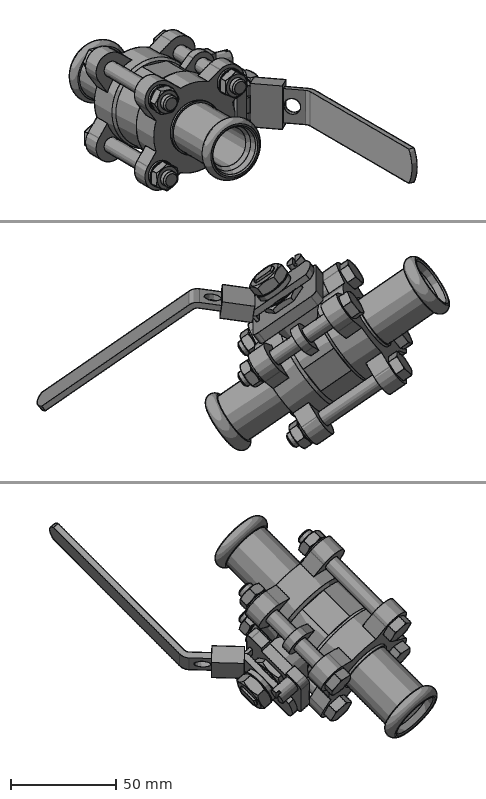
import cadquery as cq
import math


OVERALL_X = 187.95
OVERALL_Y = 89.94

PIPE_HALF_LENGTH = 62.1
PIPE_DIAMETER = 25.5
BORE_DIAMETER = 20.0
BEAD_DIAMETER = 31.5
BEAD_WIDTH = 6.8
COLLAR_DIAMETER = 27.3
COLLAR_LENGTH = 1.3
RIM_DIAMETER = 27.3
MOUTH_DIAMETER = 25.5
LIP_DIAMETER = 24.0
SOCKET_DIAMETER = 22.8
LIP_ARC_MIDDLE_DIAMETER = 23.1
SOCKET_DEPTH = 4.2
THROAT_LENGTH = 2.1

CAP_DIAMETER = 46.0
CAP_OUTER_X = 26.2
CAP_INNER_X = 9.1
CAP_BEVEL_LENGTH = 1.6
BODY_DIAMETER = 43.6
BODY_PAD_WIDTH = 14.0

BOLT_CIRCLE_RADIUS = 27.5
BOLT_DIAMETER = 7.94
BOLT_ANGLES = (45, 135, 225, 315)
TAB_ANGLES = (45, 315)
LUG_RADIUS = 8.5
LUG_THICKNESS = 9.3
LUG_ROOT_HALF_WIDTH = 9.74
TAB_RADIUS = 6.85
TAB_THICKNESS = 4.8
TAB_ROOT_HALF_WIDTH = 6.7
HEX_FLATS = 12.0
HEX_TURN = -15
HEAD_HEIGHT = 5.0
SPRING_WASHER_DIAMETER = 13.2
SPRING_WASHER_THICKNESS = 1.4
BOLT_NUT_HEIGHT = 5.3
BOLT_END_X = 36.2
BOLT_END_CHAMFER = 0.8
HEAD_CORNER_CUT = 0.5

NECK_DIAMETER = 24.0
FLANGE_BOTTOM_Y = 28.6
FLANGE_TOP_Y = 34.2
FLANGE_SIZE = 37.5
FLANGE_CORNER_RADIUS = 3.2
NOTCH_WIDTH = 17.0
NOTCH_DEPTH = 4.0

NUT_CORNER_CUT = 0.17
GLAND_NUT_FLATS = 18.8
GLAND_NUT_TOP_Y = 37.4
GLAND_WASHER_DIAMETER = 16.2
FOOT_BOTTOM_Y = 38.3
FOOT_TOP_Y = 41.5
WASHER_DIAMETER = 18.2
WASHER_TOP_Y = 44.0
STEM_NUT_FLATS = 16.8
STEM_NUT_TOP_Y = 50.2
STEM_DIAMETER = 11.7
STEM_FLATS = 6.7
STEM_TOP_Y = 51.4
STEM_CHAMFER = 0.8

FLANGE_BOLT_CIRCLE_RADIUS = 18.0
FLANGE_HOLE_OFFSET = FLANGE_BOLT_CIRCLE_RADIUS * math.sqrt(0.5)
PIN_DIAMETER = 8.3
PIN_TOP_Y = 44.0
PIN_SHANK_DIAMETER = 4.2
PIN_SHANK_END_Y = 28.0
PIN_SLOT_WIDTH = 1.4
PIN_SLOT_DEPTH = 1.8

LEVER_TOP_Y = OVERALL_Y - BOLT_CIRCLE_RADIUS * math.sqrt(0.5) - LUG_RADIUS
LEVER_THICKNESS = 3.0
LEVER_WIDTH = 17.6
LEVER_END_X = OVERALL_X - PIPE_HALF_LENGTH
LEVER_END_BULGE = 2.8
LEVER_ANGLE = 45
LEVER_SLOPE_OFFSET = 28.9
LEVER_BEND_RADIUS = 6.5
FOOT_END_X = -20.6
FOOT_END_BULGE = 2.6
LEVER_HOLE_DIAMETER = 8.0
LEVER_HOLE_Y = 55.6

SLEEVE_LENGTH = 15.6
SLEEVE_THICKNESS = 8.5
SLEEVE_WIDTH = 22.3
SLEEVE_CENTRE = (19.15, 46.05)
TONGUE_LEFT_X = 14.8
TONGUE_THICKNESS = 1.7
TONGUE_WIDTH = 8.0
TONGUE_END_Y = 28.0


def cylinder_x(start, end, diameter, y=0.0, z=0.0):
    """Cylinder along X from start to end."""
    return cq.Workplane("YZ", origin=(start, y, z)).circle(diameter / 2).extrude(end - start)


def cylinder_y(start, end, diameter, x=0.0, z=0.0):
    """Cylinder along Y from start to end."""
    return cq.Workplane("XZ", origin=(x, start, z)).circle(diameter / 2).extrude(start - end)


def hex_corners(flats):
    """Width across corners of a hexagon from its width across flats."""
    return flats / math.cos(math.pi / 6)


def turned_corners(cylinder, chamfered_ends, radial_cut):
    """Cylinder with 30 degree chamfers at the chosen ends, used to trim hexagon corners."""
    axial_cut = radial_cut * math.tan(math.pi / 6)
    return cylinder.faces(chamfered_ends).edges().chamfer(axial_cut, radial_cut)


def bolt_hex(start, end, turn, chamfered_ends, radial_cut):
    """Hexagonal prism along X on the bolt axis, at the local origin, with turned corners."""
    corners = hex_corners(HEX_FLATS)
    hexagon = cq.Workplane("YZ", origin=(start, 0, 0)).polygon(6, corners)
    prism = hexagon.extrude(end - start).rotate((0, 0, 0), (1, 0, 0), turn)
    return prism.intersect(turned_corners(cylinder_x(start, end, corners), chamfered_ends, radial_cut))


def stem_hex(start, end, flats, chamfered_ends):
    """Hexagonal nut along Y with its corners turned off at the chosen ends."""
    corners = hex_corners(flats)
    prism = cq.Workplane("XZ", origin=(0, start, 0)).polygon(6, corners).extrude(start - end)
    radial_cut = NUT_CORNER_CUT * corners / 2
    return prism.intersect(turned_corners(cylinder_y(start, end, corners), chamfered_ends, radial_cut))


def arm(start, end, angle, root_half_width, root_radius, boss_radius):
    """Plate from the valve axis to a bolt boss, with its sides tangent to the boss."""
    root_u = math.sqrt(root_radius**2 - root_half_width**2)
    offset_u = root_u - BOLT_CIRCLE_RADIUS
    reach = math.hypot(offset_u, root_half_width)
    tangent = math.atan2(root_half_width, offset_u) - math.acos(boss_radius / reach)
    tangent_u = BOLT_CIRCLE_RADIUS + boss_radius * math.cos(tangent)
    tangent_v = boss_radius * math.sin(tangent)
    plate = (
        cq.Workplane("YZ", origin=(start, 0, 0))
        .moveTo(0, 0)
        .lineTo(root_u, -root_half_width)
        .lineTo(tangent_u, -tangent_v)
        .threePointArc((BOLT_CIRCLE_RADIUS + boss_radius, 0), (tangent_u, tangent_v))
        .lineTo(root_u, root_half_width)
        .close()
        .extrude(end - start)
    )
    return plate.rotate((0, 0, 0), (1, 0, 0), angle)


def pipe_end():
    """Press end on the -X side: collar, tube and beaded mouth."""
    tube = cylinder_x(-PIPE_HALF_LENGTH + BEAD_WIDTH / 2, -CAP_OUTER_X, PIPE_DIAMETER)
    rim_x = -PIPE_HALF_LENGTH
    bead = (
        cq.Workplane("XY")
        .moveTo(rim_x, 0)
        .lineTo(rim_x, RIM_DIAMETER / 2)
        .threePointArc((rim_x + BEAD_WIDTH / 2, BEAD_DIAMETER / 2), (rim_x + BEAD_WIDTH, RIM_DIAMETER / 2))
        .lineTo(rim_x + BEAD_WIDTH, 0)
        .close()
        .revolve(360, (0, 0, 0), (1, 0, 0))
    )
    collar = cylinder_x(-CAP_OUTER_X - COLLAR_LENGTH, -CAP_OUTER_X, COLLAR_DIAMETER)
    return tube.union(bead).union(collar)


def mouth_cut():
    """Bevelled and rounded socket inside the -X press end, closing down to the bore."""
    mouth_x = -PIPE_HALF_LENGTH
    socket_end_x = mouth_x + SOCKET_DEPTH
    throat_end_x = socket_end_x + THROAT_LENGTH
    mouth_bevel = (MOUTH_DIAMETER - LIP_DIAMETER) / 2
    lip_middle_x = mouth_x + (mouth_bevel + SOCKET_DEPTH) / 2
    return (
        cq.Workplane("XY")
        .moveTo(mouth_x, 0)
        .lineTo(mouth_x, MOUTH_DIAMETER / 2)
        .lineTo(mouth_x + mouth_bevel, LIP_DIAMETER / 2)
        .threePointArc((lip_middle_x, LIP_ARC_MIDDLE_DIAMETER / 2), (socket_end_x, SOCKET_DIAMETER / 2))
        .lineTo(throat_end_x, BORE_DIAMETER / 2)
        .lineTo(throat_end_x, 0)
        .close()
        .revolve(360, (0, 0, 0), (1, 0, 0))
    )


def end_cap():
    """End cap on the -X side: bevelled drum with four bolt lugs."""
    bevel_depth = (CAP_DIAMETER - BODY_DIAMETER) / 2
    drum = cylinder_x(-CAP_OUTER_X, -CAP_INNER_X, CAP_DIAMETER)
    cap = drum.faces(">X").edges().chamfer(CAP_BEVEL_LENGTH, bevel_depth)
    for angle in BOLT_ANGLES:
        lug = arm(-CAP_OUTER_X, -CAP_OUTER_X + LUG_THICKNESS, angle,
                  LUG_ROOT_HALF_WIDTH, CAP_DIAMETER / 2, LUG_RADIUS)
        cap = cap.union(lug)
    return cap


def centre_body():
    """Middle drum with a flat pad on each Z side and two bolt tabs on the stem side."""
    pad_height = math.sqrt(BODY_DIAMETER**2 - BODY_PAD_WIDTH**2)
    drum = cylinder_x(-CAP_INNER_X, CAP_INNER_X, BODY_DIAMETER)
    body = drum.intersect(cq.Workplane("XY").box(2 * CAP_INNER_X, BODY_DIAMETER, pad_height))
    for angle in TAB_ANGLES:
        tab = arm(-TAB_THICKNESS / 2, TAB_THICKNESS / 2, angle,
                  TAB_ROOT_HALF_WIDTH, BODY_DIAMETER / 2, TAB_RADIUS)
        body = body.union(tab)
    return body


def bolt(angle):
    """Clamping bolt with head, spring washer and nut; each is turned with its corner."""
    turn = angle + HEX_TURN
    washer_end = CAP_OUTER_X + SPRING_WASHER_THICKNESS
    nut_end = washer_end + BOLT_NUT_HEIGHT
    shank = cylinder_x(-CAP_OUTER_X, BOLT_END_X, BOLT_DIAMETER)
    shank = shank.faces(">X").edges().chamfer(BOLT_END_CHAMFER)
    head = bolt_hex(-CAP_OUTER_X - HEAD_HEIGHT, -CAP_OUTER_X, turn, "<X", HEAD_CORNER_CUT)
    washer = cylinder_x(CAP_OUTER_X, washer_end, SPRING_WASHER_DIAMETER)
    nut_cut = NUT_CORNER_CUT * hex_corners(HEX_FLATS) / 2
    nut = bolt_hex(washer_end, nut_end, turn, "<X or >X", nut_cut)
    y = BOLT_CIRCLE_RADIUS * math.cos(math.radians(angle))
    z = BOLT_CIRCLE_RADIUS * math.sin(math.radians(angle))
    return shank.union(head).union(washer).union(nut).translate((0, y, z))


def bonnet():
    """Neck and square mounting flange with a notch in its +Z edge."""
    neck = cylinder_y(BORE_DIAMETER / 2, FLANGE_TOP_Y, NECK_DIAMETER)
    thickness = FLANGE_TOP_Y - FLANGE_BOTTOM_Y
    flange = cq.Workplane("XY").box(FLANGE_SIZE, thickness, FLANGE_SIZE)
    flange = flange.edges("|Y").fillet(FLANGE_CORNER_RADIUS)
    notch = cq.Workplane("XY").box(NOTCH_WIDTH, thickness, 2 * NOTCH_DEPTH)
    flange = flange.cut(notch.translate((0, 0, FLANGE_SIZE / 2)))
    return neck.union(flange.translate((0, FLANGE_BOTTOM_Y + thickness / 2, 0)))


def stem_stack():
    """Gland nut, washers, stem nut and the flatted stem."""
    gland_nut = stem_hex(FLANGE_TOP_Y, GLAND_NUT_TOP_Y, GLAND_NUT_FLATS, ">Y")
    gland_washer = cylinder_y(GLAND_NUT_TOP_Y, FOOT_BOTTOM_Y, GLAND_WASHER_DIAMETER)
    washer = cylinder_y(FOOT_TOP_Y, WASHER_TOP_Y, WASHER_DIAMETER)
    nut = stem_hex(WASHER_TOP_Y, STEM_NUT_TOP_Y, STEM_NUT_FLATS, "<Y or >Y")
    stem = cylinder_y(FLANGE_TOP_Y, STEM_TOP_Y, STEM_DIAMETER).faces(">Y").edges().chamfer(STEM_CHAMFER)
    flats = cq.Workplane("XY").box(STEM_DIAMETER, 2 * STEM_TOP_Y, STEM_FLATS)
    stem = stem.intersect(flats)
    return gland_nut.union(gland_washer).union(washer).union(nut).union(stem)


def stop_pin():
    """Slotted stop screw in one corner of the flange."""
    x = -FLANGE_HOLE_OFFSET
    z = FLANGE_HOLE_OFFSET
    head = cylinder_y(FLANGE_TOP_Y, PIN_TOP_Y, PIN_DIAMETER, x, z)
    slot = cq.Workplane("XY").box(PIN_SLOT_WIDTH, 2 * PIN_SLOT_DEPTH, PIN_DIAMETER)
    head = head.cut(slot.translate((x, PIN_TOP_Y, z)))
    return head.union(cylinder_y(PIN_SHANK_END_Y, FLANGE_TOP_Y, PIN_SHANK_DIAMETER, x, z))


def lever():
    """Flat strip lever: foot on the stem, 45 degree rise, level handle with rounded ends."""
    lower_offset = LEVER_SLOPE_OFFSET - LEVER_THICKNESS / math.cos(math.radians(LEVER_ANGLE))
    lever_bottom_y = LEVER_TOP_Y - LEVER_THICKNESS
    strip = (
        cq.Workplane("XY", origin=(0, 0, -LEVER_WIDTH / 2))
        .moveTo(FOOT_END_X, FOOT_BOTTOM_Y)
        .lineTo(FOOT_BOTTOM_Y - lower_offset, FOOT_BOTTOM_Y)
        .lineTo(lever_bottom_y - lower_offset, lever_bottom_y)
        .lineTo(LEVER_END_X, lever_bottom_y)
        .lineTo(LEVER_END_X, LEVER_TOP_Y)
        .lineTo(LEVER_TOP_Y - LEVER_SLOPE_OFFSET, LEVER_TOP_Y)
        .lineTo(FOOT_TOP_Y - LEVER_SLOPE_OFFSET, FOOT_TOP_Y)
        .lineTo(FOOT_END_X, FOOT_TOP_Y)
        .close()
        .extrude(LEVER_WIDTH)
    )
    outer_corner = (LEVER_TOP_Y - LEVER_SLOPE_OFFSET, LEVER_TOP_Y, 0)
    inner_corner = (lever_bottom_y - lower_offset, lever_bottom_y, 0)
    strip = strip.edges(cq.NearestToPointSelector(outer_corner)).fillet(LEVER_BEND_RADIUS)
    inner_radius = LEVER_BEND_RADIUS - LEVER_THICKNESS
    strip = strip.edges(cq.NearestToPointSelector(inner_corner)).fillet(inner_radius)

    half_width = LEVER_WIDTH / 2
    plan = (
        cq.Workplane("XZ")
        .moveTo(FOOT_END_X + FOOT_END_BULGE, -half_width)
        .lineTo(LEVER_END_X - LEVER_END_BULGE, -half_width)
        .threePointArc((LEVER_END_X, 0), (LEVER_END_X - LEVER_END_BULGE, half_width))
        .lineTo(FOOT_END_X + FOOT_END_BULGE, half_width)
        .threePointArc((FOOT_END_X, 0), (FOOT_END_X + FOOT_END_BULGE, -half_width))
        .close()
        .extrude(-2 * LEVER_TOP_Y)
    )
    strip = strip.intersect(plan)

    hole = cylinder_y(-2 * LEVER_THICKNESS, 2 * LEVER_THICKNESS, LEVER_HOLE_DIAMETER)
    hole = hole.rotate((0, 0, 0), (0, 0, 1), LEVER_ANGLE)
    return strip.cut(hole.translate((LEVER_HOLE_Y - LEVER_SLOPE_OFFSET, LEVER_HOLE_Y, 0)))


def lock_sleeve():
    """Block around the sloping stretch of the lever, with a tongue through the flange."""
    block = cq.Workplane("XY").box(SLEEVE_LENGTH, SLEEVE_THICKNESS, SLEEVE_WIDTH)
    block = block.rotate((0, 0, 0), (0, 0, 1), LEVER_ANGLE).translate((*SLEEVE_CENTRE, 0))
    tongue = cq.Workplane("XY").box(
        TONGUE_THICKNESS, FOOT_TOP_Y - TONGUE_END_Y, TONGUE_WIDTH, centered=(False, False, True)
    )
    return block.union(tongue.translate((TONGUE_LEFT_X, TONGUE_END_Y, 0)))


half_valve = pipe_end().union(end_cap()).cut(mouth_cut())
valve = half_valve.union(half_valve.mirror("YZ")).union(centre_body()).union(bonnet())
valve = valve.cut(cylinder_x(-PIPE_HALF_LENGTH, PIPE_HALF_LENGTH, BORE_DIAMETER))
for bolt_angle in BOLT_ANGLES:
    valve = valve.union(bolt(bolt_angle))
for fitting in (stem_stack(), stop_pin(), lever(), lock_sleeve()):
    valve = valve.union(fitting)

result = valve